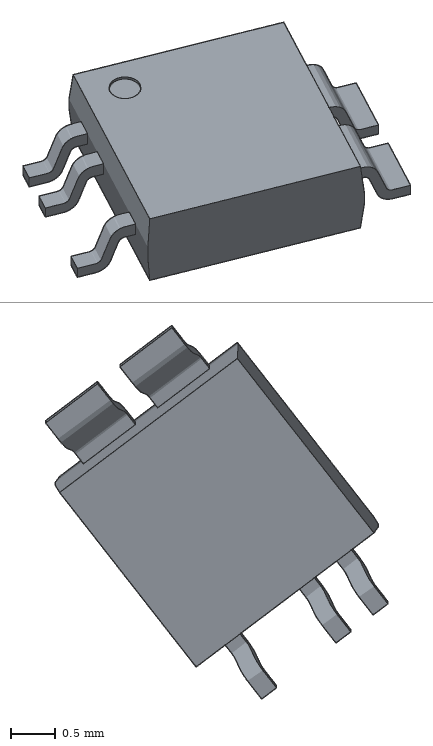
import cadquery as cq
import math

body_side = 2.6
body_inset = 0.035
height = 0.99
standoff = 0.04
belt_bottom = 0.44
belt_top = 0.6

mark_diameter = 0.355
mark_depth = 0.03
mark_x = -0.86
mark_y = -0.79

lead_span = 4.0
foot_thickness = 0.14
shank_thickness = 0.125
shank_angle = math.radians(70)
outer_radius = 0.2
inner_radius = 0.08
shoulder_length = 0.26
embed = 0.04

lead_width = 0.21
lead_pitch = 0.53
row_end = 1.5 * lead_pitch
narrow_centres = (-row_end, -row_end + lead_pitch, row_end)
wide_width = lead_width + lead_pitch
wide_centres = (-lead_pitch, lead_pitch)


def tapered_block(belt_z, end_z):
    """Block from full size at belt_z to the inset square at end_z."""
    end_side = body_side - 2 * body_inset
    return (
        cq.Workplane("XY", origin=(0, 0, belt_z))
        .rect(body_side, body_side)
        .workplane(offset=end_z - belt_z)
        .rect(end_side, end_side)
        .loft(ruled=True)
    )


def make_body():
    belt = (
        cq.Workplane("XY", origin=(0, 0, belt_bottom))
        .rect(body_side, body_side)
        .extrude(belt_top - belt_bottom)
    )
    body = belt.union(tapered_block(belt_top, height)).union(tapered_block(belt_bottom, standoff))
    mark = (
        cq.Workplane("XY", origin=(mark_x, mark_y, height - mark_depth))
        .circle(mark_diameter / 2)
        .extrude(mark_depth)
    )
    return body.cut(mark)


def make_lead(centre_x, width):
    """Lead leaving the -Y wall, bent down and out to a flat foot."""
    wall_y = -body_side / 2
    tip_y = -lead_span / 2
    root_y = wall_y + embed
    shank_width = shank_thickness / math.sin(shank_angle)

    def shank_y(z):
        """Y of the upper shank face at height z."""
        return wall_y - shoulder_length - (belt_top - z) / math.tan(shank_angle)

    shoulder_outer = (shank_y(belt_top), belt_top)
    shoulder_inner = (shank_y(belt_bottom) + shank_width, belt_bottom)
    heel_outer = (shank_y(0) + shank_width, 0)
    heel_inner = (shank_y(foot_thickness), foot_thickness)
    profile = [
        (tip_y, 0),
        heel_outer,
        shoulder_inner,
        (root_y, belt_bottom),
        (root_y, belt_top),
        shoulder_outer,
        heel_inner,
        (tip_y, foot_thickness),
    ]
    lead = (
        cq.Workplane("YZ", origin=(centre_x - width / 2, 0, 0))
        .polyline(profile)
        .close()
        .extrude(width)
    )
    bends = (
        (shoulder_outer, outer_radius),
        (heel_outer, outer_radius),
        (shoulder_inner, inner_radius),
        (heel_inner, inner_radius),
    )
    for (y, z), radius in bends:
        lead = lead.edges(cq.NearestToPointSelector((centre_x, y, z))).fillet(radius)
    return lead


result = make_body()
for x in narrow_centres:
    result = result.union(make_lead(x, lead_width))
for x in wide_centres:
    result = result.union(make_lead(x, wide_width).mirror("XZ"))